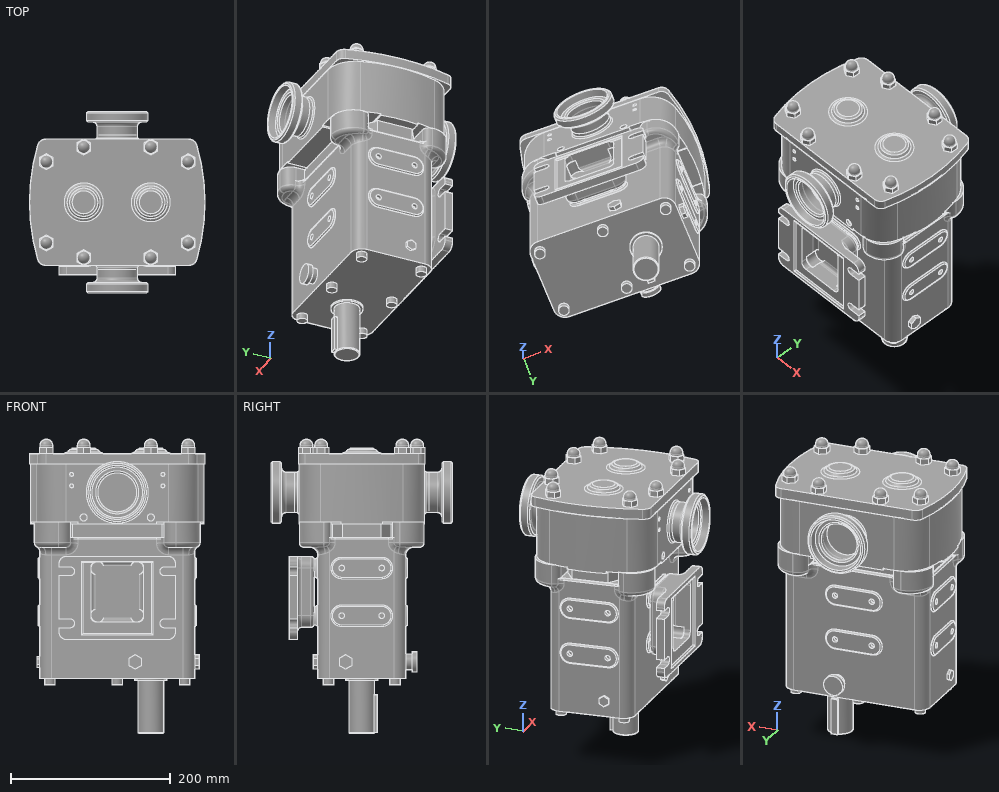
import cadquery as cq
import math


SIDES = (-1, 1)
QUADRANTS = [(sx, sy) for sx in SIDES for sy in SIDES]

SHAFT_BOTTOM = -68.5
SHOULDER_Z = 177
LUG_BOTTOM = 164.5
HEAD_BOTTOM = 194.0
LUG_TOP = 196.0
COVER_BOTTOM = 268.8
COVER_TOP = 282.0
NUT_TOP = 300.0

ROTOR_X = 42.0
CORNER_STUD = (89.0, 51.0)
SIDE_STUD_Y = 69.3

CASE_X = 194.5
CASE_Y = 110.5
CASE_CORNER_R = 15.0
LUG_INNER = (58.3, 38.5)
LUG_OUTER = (104.0, 78.0)
LUG_OUTER_R = 30.2
LUG_FRONT_R = 15.0
LUG_SIDE_R = 9.2
LUG_EDGE_R = 6.0
LUG_COVE_R = 9.2
NECK_X = 94.0
NECK_Y = 52.5
NECK_FRONT_HALF = 56.0
NECK_END_HALF = 24.0
NECK_ROOT_HALF = 36.5
NECK_ROOT_X = 73.7
SHOULDER_CHAMFER = 2.2

PAD_SPACING = 50.0
PAD_LEVELS = (79.0, 138.5)
PAD_WIDTH = 27.0
PAD_HEIGHT = 2.2
PAD_CHAMFER = 2.0
PAD_HOLE_R = 3.5
PAD_HOLE_DEPTH = 6.0

PLUG_Z = 21.0
PLUG_X = 22.5
PLUG_Y = -20.3
PLUG_DIAMETER = 18.0
PLUG_HEIGHT = 5.5
SMALL_PLUG_DIAMETER = 14.0
SMALL_PLUG_HEIGHT = 3.5
GAUGE_NECK_R = 10.0
GAUGE_RIM_R = 13.0
GAUGE_NECK_LENGTH = 7.7
GAUGE_RIM_LENGTH = 6.3
PIN_X = 84.5
PIN_Y = 41.5
PIN_R = 6.5
PIN_LENGTH = 7.7
SHAFT_R = 16.2
SHAFT_CHAMFER = 1.0
SEAL_R = 20.3
SEAL_HEIGHT = 2.2
KEY_TOP = -20.0
KEY_Y = 19.5
KEY_WIDTH = 9.0

HEAD_HALF_X = 109.0
HEAD_HALF_Y = 79.0
HEAD_SIDE_R = 175.0
HEAD_CORNER_R = 38.7
STEP_CORNER = (49.5, 25.8)
COVER_X = 220.0
COVER_HALF_Y = 79.3
COVER_SIDE_R = 254.5
COVER_CORNER_R = 11

PORT_Z = 233.5
PORT_FACE_Y = 114.0
PORT_FLANGE_R = 38.7
PORT_FLANGE_WIDTH = 13.5
PORT_CHAMFER = 2.2
PORT_NECK_R = 25.5
PORT_COVE_R = 5.5
PORT_FLARE = 2.0
PORT_MOUTH_R = 34.0
PORT_SEAT_R = 31.7
PORT_SEAT_DEPTH = 9.2
PORT_LEAD_R = 27.0
PORT_BORE_R = 24.5
PORT_LEAD_DEPTH = 2.0
PORT_DEPTH = 29.5

TAPPED_X = 57.0
TAPPED_LEVELS = (241.5, 256.0)
TAPPED_R = 2.4
DRAIN_Z = 202.0
DRAIN_R = 4.5
FACE_HOLE_DEPTH = 3.7

NUT_ACROSS_FLATS = 17.5
NUT_DOME_R = 8.0
NUT_HEX_HEIGHT = 7.7

BOSS_R = 24.5
BOSS_FLANK_R = 20.5
BOSS_CROWN_R = 17.7
BOSS_TOP_R = 14.5
BOSS_HEIGHT = 6.5
BOSS_COVE_HEIGHT = BOSS_HEIGHT / 4
BOSS_SAGITTA = 0.5

FOOT_FACE_Y = -91.0
FOOT_PLATE_WIDTH = 10.7
FOOT_HALF_X = 73.0
FOOT_BOTTOM = 49.0
FOOT_TOP = 153.5
FOOT_CORNER_R = 9.5
FOOT_SLOT_WIDTH = 11
FOOT_SLOT_END_X = 53.5
FOOT_SLOT_LEVELS = (69.3, 134.5)
POCKET_CORNER_R = 7.7
POCKET_WALL = 7.0
POCKET_DEPTH = 26.5
POCKET_FLOOR_R = 4.8
SPOT_FACE_R = 8.5
FOOT_BACK_Y = -59.5
FOOT_BACK_R = 4.8
FOOT_COVE = 5.0
FOOT_BOSS_R = 11.8
FRAME_HALF_X = 45.0
FRAME_BOTTOM = 54.5
FRAME_TOP = 147.0
FRAME_DEPTH = 2.2
FRAME_CHAMFER = 2.0


def y_rod(x, z, y_start, y_end, radius):
    """Cylinder along Y."""
    start = cq.Vector(x, y_start, z)
    axis = cq.Vector(0, y_end - y_start, 0)
    return cq.Workplane(cq.Solid.makeCylinder(radius, abs(axis.y), start, axis))


def y_block(half_x, z_bottom, z_top, y_front, y_back):
    """Block centred on X."""
    block = cq.Workplane().box(2 * half_x, y_back - y_front, z_top - z_bottom, centered=(True, False, False))
    return block.translate((0, y_front, z_bottom))


def lug():
    """Corner lug that carries the head, in the +X +Y corner."""
    size_x = LUG_OUTER[0] - LUG_INNER[0]
    size_y = LUG_OUTER[1] - LUG_INNER[1]
    block = cq.Workplane().box(size_x, size_y, LUG_TOP - LUG_BOTTOM, centered=False)
    block = block.translate((*LUG_INNER, LUG_BOTTOM))
    block = block.edges("|Z and >X and >Y").fillet(LUG_OUTER_R)
    block = block.edges("|Z").edges("<X and >Y").fillet(LUG_FRONT_R)
    block = block.edges("|Z").edges(">X and <Y").fillet(LUG_SIDE_R)
    return block.faces("<Z").edges().fillet(LUG_EDGE_R)


def in_quadrant(shape, sx, sy):
    """Mirror a +X +Y shape into the quadrant with these signs."""
    if sx < 0:
        shape = shape.mirror("YZ")
    if sy < 0:
        shape = shape.mirror("XZ")
    return shape


def neck():
    """Cross-shaped neck between the shoulder and the head."""
    height = HEAD_BOTTOM - SHOULDER_Z
    middle = cq.Workplane().box(2 * NECK_FRONT_HALF, 2 * NECK_Y, height, centered=(True, True, False))
    half_outline = [
        (NECK_ROOT_X, NECK_ROOT_HALF),
        (NECK_X, NECK_END_HALF),
        (NECK_X, -NECK_END_HALF),
        (NECK_ROOT_X, -NECK_ROOT_HALF),
    ]
    outline = half_outline + [(-x, -y) for x, y in half_outline]
    ends = cq.Workplane().polyline(outline).close().extrude(height)
    return middle.union(ends).translate((0, 0, SHOULDER_Z))


def case_shell():
    """Case walls with the corner lugs coved into them and the gap cut above the shoulder."""

    def walls(height):
        block = cq.Workplane().box(CASE_X, CASE_Y, height, centered=(True, True, False))
        return block.edges("|Z").fillet(CASE_CORNER_R)

    lugs = [in_quadrant(lug(), sx, sy) for sx, sy in QUADRANTS]
    shell = walls(LUG_TOP)
    clearance = 0.5
    near = (LUG_INNER[0] - clearance, LUG_INNER[1] - clearance)
    far = (CASE_X / 2 + clearance, CASE_Y / 2 + clearance)
    for (sx, sy), corner in zip(QUADRANTS, lugs):
        joint = cq.selectors.BoxSelector(
            (sx * near[0], sy * near[1], LUG_BOTTOM - clearance),
            (sx * far[0], sy * far[1], LUG_TOP - clearance),
        )
        shell = shell.union(corner).edges(joint).fillet(LUG_COVE_R)

    gap_size = 2 * LUG_OUTER[0]
    gap = cq.Workplane().box(gap_size, gap_size, LUG_TOP - SHOULDER_Z, centered=(True, True, False))
    gap = gap.translate((0, 0, SHOULDER_Z)).cut(neck())
    rim = walls(SHOULDER_Z).cut(walls(SHOULDER_Z).faces(">Z").chamfer(SHOULDER_CHAMFER))
    for corner in lugs:
        gap = gap.cut(corner)
        rim = rim.cut(corner)
    return shell.cut(gap).cut(rim)


def wall_plane(turn, height):
    """Plane on a wall of the case, turned about Z from the -Y wall, with its X axis level."""
    reach = CASE_Y / 2 if turn % 180 == 0 else CASE_X / 2
    angle = math.radians(turn - 90)
    normal = (math.cos(angle), math.sin(angle), 0)
    level = (-math.sin(angle), math.cos(angle), 0)
    return cq.Plane(origin=(reach * normal[0], reach * normal[1], height), xDir=level, normal=normal)


def add_pads(case):
    """Stadium-shaped pads with two blind bolt holes each, two to a wall."""
    hole_spots = [(side * PAD_SPACING / 2, 0) for side in SIDES]
    for turn in (0, 90, 180, 270):
        for height in PAD_LEVELS:
            face = cq.Workplane(wall_plane(turn, height))
            pad = face.slot2D(PAD_SPACING + PAD_WIDTH, PAD_WIDTH).extrude(PAD_HEIGHT)
            outer_face = cq.selectors.DirectionMinMaxSelector(face.plane.zDir)
            pad = pad.faces(outer_face).chamfer(PAD_CHAMFER)
            holes = face.workplane(offset=PAD_HEIGHT).pushPoints(hole_spots)
            case = case.union(pad).cut(holes.circle(PAD_HOLE_R).extrude(-PAD_HOLE_DEPTH))
    return case


def add_fittings(case):
    """Three hexagon plugs, and a round oil gauge on the +Y wall."""
    plugs = [
        (0, PLUG_X, PLUG_DIAMETER, PLUG_HEIGHT),
        (90, PLUG_Y, PLUG_DIAMETER, PLUG_HEIGHT),
        (270, -PLUG_Y, SMALL_PLUG_DIAMETER, SMALL_PLUG_HEIGHT),
    ]
    for turn, offset, diameter, height in plugs:
        face = cq.Workplane(wall_plane(turn, PLUG_Z)).center(offset, 0)
        case = case.union(face.transformed(rotate=(0, 0, 90)).polygon(6, diameter).extrude(height))

    neck_end = CASE_Y / 2 + GAUGE_NECK_LENGTH
    case = case.union(y_rod(PLUG_X, PLUG_Z, CASE_Y / 2, neck_end, GAUGE_NECK_R))
    return case.union(y_rod(PLUG_X, PLUG_Z, neck_end, neck_end + GAUGE_RIM_LENGTH, GAUGE_RIM_R))


def add_pins(case):
    """Short round pins under the case."""
    spots = [(x, y) for x in (-PIN_X, 0, PIN_X) for y in (-PIN_Y, PIN_Y)]
    return case.union(cq.Workplane().pushPoints(spots).circle(PIN_R).extrude(-PIN_LENGTH))


def add_shaft(case):
    """Drive shaft with its seal ring and key, on the +X rotor axis."""
    shaft = cq.Workplane().circle(SHAFT_R).extrude(SHAFT_BOTTOM).faces("<Z").chamfer(SHAFT_CHAMFER)
    seal = cq.Workplane().circle(SEAL_R).extrude(-SEAL_HEIGHT)
    key_bottom = SHAFT_BOTTOM + SHAFT_CHAMFER
    key = cq.Workplane().box(KEY_WIDTH, KEY_Y, KEY_TOP - key_bottom, centered=(True, False, False))
    key = key.translate((0, 0, key_bottom))
    drive = shaft.union(seal).union(key)
    return case.union(drive.translate((ROTOR_X, 0, 0)))


def make_gear_case():
    case = add_pads(case_shell())
    case = add_fittings(case)
    case = add_pins(case)
    return add_shaft(case)


def bowed_plate(half_x, half_y, side_r, corner_r, bottom, top):
    """Plate with straight front and back and bowed sides."""
    corner_x = half_x - (side_r - math.sqrt(side_r**2 - half_y**2))
    plate = (
        cq.Workplane()
        .workplane(offset=bottom)
        .moveTo(-corner_x, -half_y)
        .lineTo(corner_x, -half_y)
        .threePointArc((half_x, 0), (corner_x, half_y))
        .lineTo(-corner_x, half_y)
        .threePointArc((-half_x, 0), (-corner_x, -half_y))
        .close()
        .extrude(top - bottom)
    )
    return plate.edges("|Z").fillet(corner_r)


def port():
    """Flanged port on the -Y face, turned about its own axis."""
    back_y = PORT_FACE_Y - PORT_FLANGE_WIDTH
    cove_mid = PORT_COVE_R * (1 - math.sqrt(0.5))
    profile = (
        cq.Workplane("XY")
        .moveTo(0, 0)
        .lineTo(PORT_NECK_R + PORT_FLARE, 0)
        .lineTo(PORT_NECK_R + PORT_FLARE, -HEAD_HALF_Y)
        .lineTo(PORT_NECK_R, -HEAD_HALF_Y - PORT_FLARE)
        .lineTo(PORT_NECK_R, -back_y + PORT_COVE_R)
        .threePointArc((PORT_NECK_R + cove_mid, -back_y + cove_mid), (PORT_NECK_R + PORT_COVE_R, -back_y))
        .lineTo(PORT_FLANGE_R - PORT_CHAMFER, -back_y)
        .lineTo(PORT_FLANGE_R, -back_y - PORT_CHAMFER)
        .lineTo(PORT_FLANGE_R, -PORT_FACE_Y + PORT_CHAMFER)
        .lineTo(PORT_FLANGE_R - PORT_CHAMFER, -PORT_FACE_Y)
        .lineTo(0, -PORT_FACE_Y)
        .close()
    )
    return profile.revolve(360, (0, 0, 0), (0, 1, 0)).translate((0, 0, PORT_Z))


def port_bore():
    """Blind bore with a slightly conical seat and a lead-in, for the port on the -Y face."""
    seat_y = -PORT_FACE_Y + PORT_SEAT_DEPTH
    profile = (
        cq.Workplane("XY")
        .moveTo(0, -PORT_FACE_Y)
        .lineTo(PORT_MOUTH_R, -PORT_FACE_Y)
        .lineTo(PORT_SEAT_R, seat_y)
        .lineTo(PORT_LEAD_R, seat_y)
        .lineTo(PORT_BORE_R, seat_y + PORT_LEAD_DEPTH)
        .lineTo(PORT_BORE_R, -PORT_FACE_Y + PORT_DEPTH)
        .lineTo(0, -PORT_FACE_Y + PORT_DEPTH)
        .close()
    )
    return profile.revolve(360, (0, 0, 0), (0, 1, 0)).translate((0, 0, PORT_Z))


def cap_nut(x, y):
    """Hexagon nut with a domed cap, standing on the cover."""
    flats_to_corners = 2 / math.sqrt(3)
    hexagon = cq.Workplane().polygon(6, NUT_ACROSS_FLATS * flats_to_corners).extrude(NUT_HEX_HEIGHT)
    hexagon = hexagon.rotate((0, 0, 0), (0, 0, 1), 90)
    dome_z = NUT_TOP - COVER_TOP - NUT_DOME_R
    stem = cq.Workplane().circle(NUT_DOME_R).extrude(dome_z)
    dome = cq.Workplane().sphere(NUT_DOME_R).translate((0, 0, dome_z))
    return hexagon.union(stem).union(dome).translate((x, y, COVER_TOP))


def rotor_boss(x):
    """Round boss on the cover with a coved foot and a rounded crown."""
    profile = (
        cq.Workplane("XZ")
        .lineTo(BOSS_R, 0)
        .sagittaArc((BOSS_FLANK_R, BOSS_COVE_HEIGHT), -BOSS_SAGITTA)
        .lineTo(BOSS_CROWN_R, BOSS_HEIGHT - BOSS_COVE_HEIGHT)
        .sagittaArc((BOSS_TOP_R, BOSS_HEIGHT), BOSS_SAGITTA)
        .lineTo(0, BOSS_HEIGHT)
        .close()
    )
    return profile.revolve(360, (0, 0, 0), (0, 1, 0)).translate((x, 0, COVER_TOP))


def lug_step():
    """Corner step under the head that takes a lug, in the +X +Y corner."""
    step = cq.Workplane().box(HEAD_HALF_X, HEAD_HALF_Y, LUG_TOP - HEAD_BOTTOM, centered=False)
    return step.translate((*STEP_CORNER, HEAD_BOTTOM))


def make_fluid_head():
    head = bowed_plate(HEAD_HALF_X, HEAD_HALF_Y, HEAD_SIDE_R, HEAD_CORNER_R, HEAD_BOTTOM, COVER_BOTTOM)
    head = head.union(
        bowed_plate(COVER_X / 2, COVER_HALF_Y, COVER_SIDE_R, COVER_CORNER_R, COVER_BOTTOM, COVER_TOP)
    )
    for sx, sy in QUADRANTS:
        head = head.cut(in_quadrant(lug_step(), sx, sy))
        head = head.union(cap_nut(sx * CORNER_STUD[0], sy * CORNER_STUD[1]))
        head = head.union(cap_nut(sx * ROTOR_X, sy * SIDE_STUD_Y))

    hole_end = -HEAD_HALF_Y + FACE_HOLE_DEPTH
    for sx in SIDES:
        head = head.union(rotor_boss(sx * ROTOR_X))
        head = head.cut(y_rod(sx * ROTOR_X, DRAIN_Z, -HEAD_HALF_Y, hole_end, DRAIN_R))
        for height in TAPPED_LEVELS:
            head = head.cut(y_rod(sx * TAPPED_X, height, -HEAD_HALF_Y, hole_end, TAPPED_R))

    for turn in (0, 180):
        head = head.union(port().rotate((0, 0, 0), (0, 0, 1), turn))
    for turn in (0, 180):
        head = head.cut(port_bore().rotate((0, 0, 0), (0, 0, 1), turn))
    return head


def make_foot():
    pocket_half_x = PAD_SPACING / 2 + POCKET_CORNER_R
    pocket_bottom = PAD_LEVELS[0] - POCKET_CORNER_R
    pocket_top = PAD_LEVELS[1] + POCKET_CORNER_R
    plate_back_y = FOOT_FACE_Y + FOOT_PLATE_WIDTH
    pocket_floor_y = FOOT_FACE_Y + POCKET_DEPTH
    pad_face_y = -CASE_Y / 2 - PAD_HEIGHT
    bolt_spots = [(sx * PAD_SPACING / 2, height) for sx in SIDES for height in PAD_LEVELS]

    plate = y_block(FOOT_HALF_X, FOOT_BOTTOM, FOOT_TOP, FOOT_FACE_Y, plate_back_y)
    plate = plate.edges("|Y").fillet(FOOT_CORNER_R)

    box_half_x = pocket_half_x + POCKET_WALL
    box_bottom = pocket_bottom - POCKET_WALL
    box = y_block(box_half_x, box_bottom, FOOT_TOP, plate_back_y, FOOT_BACK_Y)
    box = box.edges("|Y").fillet(POCKET_CORNER_R + POCKET_WALL)
    box = box.faces(">Y").edges().fillet(FOOT_BACK_R)
    joint = cq.selectors.BoxSelector(
        (-box_half_x - FOOT_COVE, plate_back_y - FOOT_COVE, box_bottom - FOOT_COVE),
        (box_half_x + FOOT_COVE, plate_back_y + FOOT_COVE, FOOT_TOP - FOOT_COVE),
    )
    foot = plate.union(box).edges(joint).fillet(FOOT_COVE)

    slot_centre_x = FOOT_SLOT_END_X + FOOT_SLOT_WIDTH / 2
    for sx in SIDES:
        for height in FOOT_SLOT_LEVELS:
            round_end = y_rod(sx * slot_centre_x, height, FOOT_FACE_Y, plate_back_y, FOOT_SLOT_WIDTH / 2)
            opening = cq.Workplane().box(
                FOOT_HALF_X, FOOT_PLATE_WIDTH, FOOT_SLOT_WIDTH, centered=(False, False, True)
            )
            opening = opening.translate((slot_centre_x, FOOT_FACE_Y, height))
            if sx < 0:
                opening = opening.mirror("YZ")
            foot = foot.cut(round_end).cut(opening)

    for x, height in bolt_spots:
        foot = foot.union(y_rod(x, height, pocket_floor_y, pad_face_y, FOOT_BOSS_R))

    pocket = y_block(pocket_half_x, pocket_bottom, pocket_top, FOOT_FACE_Y, pocket_floor_y)
    pocket = pocket.edges("|Y").fillet(POCKET_CORNER_R)
    pocket = pocket.faces(">Y").edges().fillet(POCKET_FLOOR_R)
    frame = y_block(FRAME_HALF_X, FRAME_BOTTOM, FRAME_TOP, FOOT_FACE_Y, FOOT_FACE_Y + FRAME_DEPTH)
    frame = frame.faces(">Y").edges().chamfer(FRAME_CHAMFER)
    foot = foot.cut(pocket).cut(frame)
    for x, height in bolt_spots:
        foot = foot.cut(y_rod(x, height, plate_back_y, pocket_floor_y, SPOT_FACE_R))
    return foot


gear_case = make_gear_case().solids()
fluid_head = make_fluid_head().solids()
foot = make_foot().solids()

result = cq.Compound.makeCompound([gear_case.val(), fluid_head.val(), foot.val()])